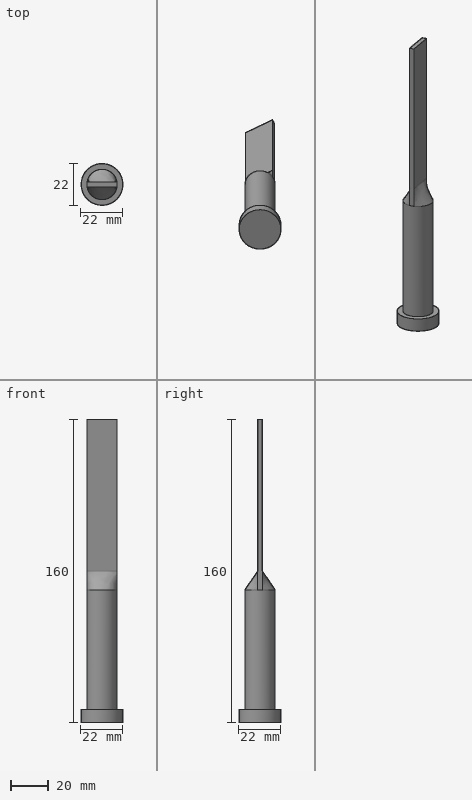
import cadquery as cq
import math

total_height = 160.0
head_height = 7.0
blade_length = 80.0
transition_height = 10.0

head_diameter = 22.0
shaft_diameter = 16.0
blade_width = 16.0
blade_thickness = 2.5

blade_start = total_height - blade_length
shaft_top = blade_start - transition_height


def make_head():
    return cq.Workplane("XY").circle(head_diameter / 2).extrude(head_height)


def make_shaft():
    return cq.Workplane("XY").circle(shaft_diameter / 2).extrude(shaft_top)


def make_transition():
    """Symmetric ruled blend; the circle is split where the blade faces meet it."""
    radius = shaft_diameter / 2
    split_y = blade_thickness / 2
    split_x = math.sqrt(radius**2 - split_y**2)
    half_width = blade_width / 2
    return (
        cq.Workplane("XY", origin=(0, 0, shaft_top))
        .moveTo(-split_x, -split_y)
        .threePointArc((0, -radius), (split_x, -split_y))
        .threePointArc((radius, 0), (split_x, split_y))
        .threePointArc((0, radius), (-split_x, split_y))
        .threePointArc((-radius, 0), (-split_x, -split_y))
        .close()
        .workplane(offset=transition_height, origin=(0, 0, shaft_top))
        .moveTo(-half_width, -split_y)
        .lineTo(half_width, -split_y)
        .lineTo(half_width, split_y)
        .lineTo(-half_width, split_y)
        .close()
        .loft(ruled=True)
    )


def make_blade():
    """Flat blade, running down through the transition to the shaft."""
    return (
        cq.Workplane("XY", origin=(0, 0, shaft_top))
        .rect(blade_width, blade_thickness)
        .extrude(total_height - shaft_top)
    )


result = make_head().union(make_shaft()).union(make_transition()).union(make_blade())